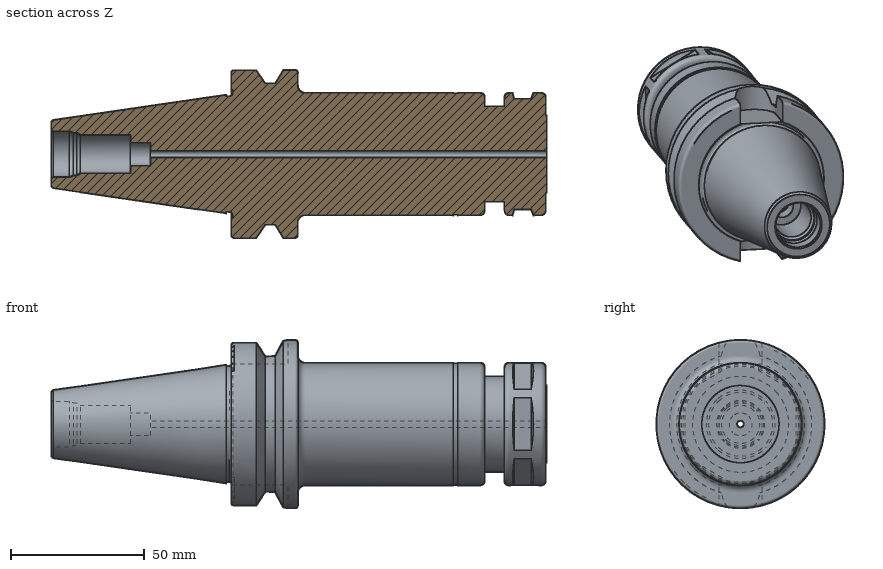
import cadquery as cq
import math

total_length = 185.4

gauge_position = 65.5
gauge_diameter = 44.5
taper_ratio = 7 / 24
shank_end_chamfer = 0.7
relief_diameter = 43.4
relief_front_fillet = 0.4
relief_back_fillet = 1.3

flange_diameter = 63.0
flange_start = 67.3
flange_end = 92.3
flange_edge_fillet = 1.1
flange_recess_diameter = 47.8
flange_recess_depth = 0.5
groove_diameter = 53.2
groove_wall_start = 76.8
groove_floor_start = 80.1
groove_floor_end = 83.8
groove_wall_end = 86.8

slot_width = 16.1
slot_end = 88.5
slot_floor_height = 22.6

body_diameter = 46.0
body_end = 162.2
body_root_fillet = 2.6
body_end_fillet = 1.9
ring_groove_start = 150.4
ring_groove_end = 152.0
ring_groove_depth = 0.2

neck_diameter = 36.0
nut_diameter = body_diameter
nut_start = 169.5
nut_end = 185.0
nut_back_fillet = 1.9
nut_front_fillet = 1.9
nose_diameter = 29.0

flat_count = 6
flat_distance = 20.8
flat_start = 173.2
flat_end = 179.5
flat_back_flare = 0.5
flat_front_flare = 1.0

mouth_diameter = 18.0
mouth_depth = 0.7
pilot_diameter = 17.0
pilot_depth = 6.9
thread_diameter = 16.0
thread_start = 8.3
thread_end = 9.6
core_diameter = 14.3
core_start = 11.0
core_end = 29.7
inner_diameter = 8.5
inner_end = 37.0
coolant_diameter = 2.5


def make_disc(diameter, start, end):
    """Cylinder around the X axis between two X positions."""
    return cq.Workplane("YZ", origin=(start, 0, 0)).circle(diameter / 2).extrude(end - start)


def revolve_about_axis(points):
    """Revolve a closed (x, radius) outline around the X axis."""
    return cq.Workplane("XY").polyline(points).close().revolve(360, (0, 0, 0), (1, 0, 0))


def make_root_fillet(wall_position, diameter, fillet_radius, direction):
    """Concave fillet between a flat wall and a cylinder that leaves it along direction (+1 or -1)."""
    radius = diameter / 2
    arc_offset = fillet_radius * (1 - math.sqrt(0.5))
    tangent_position = wall_position + direction * fillet_radius
    return (
        cq.Workplane("XY")
        .moveTo(wall_position, 0)
        .lineTo(wall_position, radius + fillet_radius)
        .threePointArc(
            (wall_position + direction * arc_offset, radius + arc_offset),
            (tangent_position, radius),
        )
        .lineTo(tangent_position, 0)
        .close()
        .revolve(360, (0, 0, 0), (1, 0, 0))
    )


def make_shank():
    gauge_radius = gauge_diameter / 2
    tip_radius = gauge_radius - gauge_position * taper_ratio / 2
    shank = revolve_about_axis([
        (0, 0),
        (0, tip_radius),
        (gauge_position, gauge_radius),
        (gauge_position, 0),
    ])
    shank = shank.faces("<X").chamfer(shank_end_chamfer)
    recess_floor = flange_start + flange_recess_depth
    shank = shank.union(make_disc(relief_diameter, gauge_position, recess_floor))
    shank = shank.union(make_root_fillet(gauge_position, relief_diameter, relief_front_fillet, 1))
    return shank.union(make_root_fillet(recess_floor, relief_diameter, relief_back_fillet, -1))


def make_flange():
    flange = make_disc(flange_diameter, flange_start, flange_end)
    flange = flange.faces("<X or >X").edges().fillet(flange_edge_fillet)
    v_groove = revolve_about_axis([
        (groove_wall_start, flange_diameter / 2),
        (groove_floor_start, groove_diameter / 2),
        (groove_floor_end, groove_diameter / 2),
        (groove_wall_end, flange_diameter / 2),
    ])
    recess = make_disc(flange_recess_diameter, flange_start, flange_start + flange_recess_depth)
    return flange.cut(v_groove).cut(recess)


def make_drive_slots():
    """Round-ended slots on the +Z and -Z sides of the flange."""
    end_center = slot_end - slot_width / 2
    height = flange_diameter / 2 - slot_floor_height
    slot = (
        cq.Workplane("XY", origin=(0, 0, slot_floor_height))
        .moveTo(gauge_position, -slot_width / 2)
        .lineTo(end_center, -slot_width / 2)
        .threePointArc((slot_end, 0), (end_center, slot_width / 2))
        .lineTo(gauge_position, slot_width / 2)
        .close()
        .extrude(height)
    )
    return slot.union(slot.mirror("XY"))


def make_body():
    body = make_disc(body_diameter, flange_end, body_end)
    body = body.faces(">X").edges().fillet(body_end_fillet)
    ring = make_disc(body_diameter, ring_groove_start, ring_groove_end)
    ring = ring.cut(make_disc(body_diameter - 2 * ring_groove_depth, ring_groove_start, ring_groove_end))
    return body.cut(ring)


def make_nut():
    nut = make_disc(nut_diameter, nut_start, nut_end)
    nut = nut.faces("<X").edges().fillet(nut_back_fillet)
    nut = nut.faces(">X").edges().fillet(nut_front_fillet)
    nut_radius = nut_diameter / 2
    flat_cutter = (
        cq.Workplane("XY")
        .polyline([
            (flat_start, -flat_distance),
            (flat_end, -flat_distance),
            (flat_end + flat_front_flare, -nut_radius),
            (flat_start - flat_back_flare, -nut_radius),
        ])
        .close()
        .extrude(nut_radius, both=True)
    )
    for index in range(flat_count):
        nut = nut.cut(flat_cutter.rotate((0, 0, 0), (1, 0, 0), index * 360 / flat_count))
    return nut


def make_bore():
    return revolve_about_axis([
        (0, 0),
        (0, mouth_diameter / 2),
        (mouth_depth, pilot_diameter / 2),
        (pilot_depth, pilot_diameter / 2),
        (thread_start, thread_diameter / 2),
        (thread_end, thread_diameter / 2),
        (core_start, core_diameter / 2),
        (core_end, core_diameter / 2),
        (core_end, inner_diameter / 2),
        (inner_end, inner_diameter / 2),
        (inner_end, coolant_diameter / 2),
        (total_length, coolant_diameter / 2),
        (total_length, 0),
    ])


result = (
    make_shank()
    .union(make_flange())
    .cut(make_drive_slots())
    .union(make_body())
    .union(make_root_fillet(flange_end, body_diameter, body_root_fillet, 1))
    .union(make_disc(neck_diameter, body_end, nut_start))
    .union(make_nut())
    .union(make_disc(nose_diameter, nut_end, total_length))
    .cut(make_bore())
)